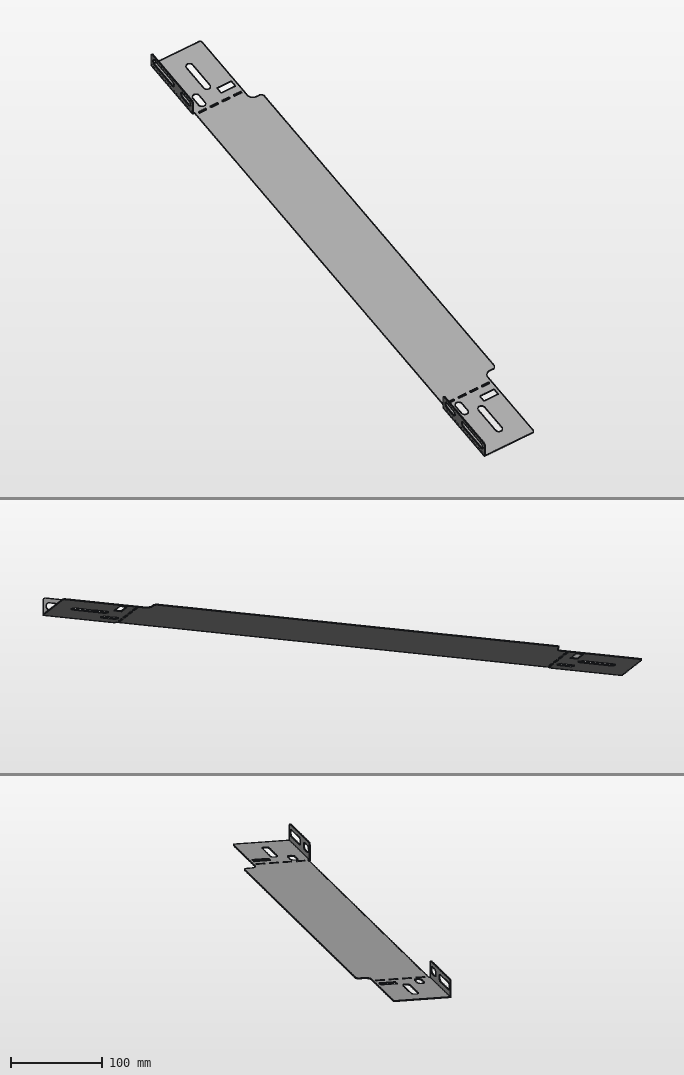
import cadquery as cq

LENGTH = 674.0
DEPTH = 80.0
FLANGE_HEIGHT = 20.0
THICKNESS = 1.2

WING_DEPTH = 65.0
PANEL_INSET = 101.0
PANEL_CORNER_RADIUS = 4.0
NOTCH_RADIUS = 7.0
WING_CORNER_RADIUS = 2.5
FRONT_SETBACK = 2.5

FLANGE_LENGTH = 84.0
FLANGE_CORNER_RADIUS = 3.0

SLOT_WIDTH = 8.0
LONG_SLOT_LENGTH = 43.0
SHORT_SLOT_LENGTH = 20.0
WING_LONG_SLOT_AT = (42.0, 34.5)
WING_SHORT_SLOT_AT = (71.5, 16.5)
FLANGE_LONG_SLOT_X = 25.0
FLANGE_SHORT_SLOT_X = 70.0
FLANGE_SLOT_Z = 11.0
WINDOW_AT = (71.5, 52.0)
WINDOW_SIZE = (8.5, 18.5)

SLIT_X = 86.5
SLIT_WIDTH = 2.0
SLIT_LENGTH = 9.5
SLIT_PITCH = 15.2
SLIT_COUNT = 4
FIRST_SLIT_Y = 11.5

HALF_LENGTH = LENGTH / 2
CUT_DEPTH = 4 * THICKNESS


def make_plate():
    """Flat plate: full-length wing strip plus the deeper middle panel."""
    panel_half = HALF_LENGTH - PANEL_INSET
    wings = cq.Workplane("XY").box(LENGTH, WING_DEPTH, THICKNESS, centered=(True, False, False))
    panel = cq.Workplane("XY").box(2 * panel_half, DEPTH, THICKNESS, centered=(True, False, False))
    plate = wings.union(panel)

    middle_length = LENGTH - 2 * FLANGE_LENGTH
    setback = cq.Workplane("XY").box(middle_length, FRONT_SETBACK, THICKNESS, centered=(True, False, False))
    plate = plate.cut(setback)

    plate = round_upright_edges(plate, panel_half, DEPTH, PANEL_CORNER_RADIUS)
    plate = round_upright_edges(plate, panel_half, WING_DEPTH, NOTCH_RADIUS)
    return round_upright_edges(plate, HALF_LENGTH, WING_DEPTH, WING_CORNER_RADIUS)


def round_upright_edges(plate, x, y, radius):
    """Round the mirrored pair of plate corners at (-x, y) and (x, y)."""
    for corner_x in (-x, x):
        corner = cq.selectors.NearestToPointSelector((corner_x, y, THICKNESS / 2))
        plate = plate.edges("|Z").edges(corner).fillet(radius)
    return plate


def make_flange(side):
    """Upright flange at one end, with rounded upper corners and two slots."""
    center_x = side * (HALF_LENGTH - FLANGE_LENGTH / 2)
    flange = (
        cq.Workplane("XY")
        .center(center_x, 0)
        .box(FLANGE_LENGTH, THICKNESS, FLANGE_HEIGHT, centered=(True, False, False))
        .edges("|Y and >Z")
        .fillet(FLANGE_CORNER_RADIUS)
    )
    slots = ((FLANGE_LONG_SLOT_X, LONG_SLOT_LENGTH), (FLANGE_SHORT_SLOT_X, SHORT_SLOT_LENGTH))
    for offset, length in slots:
        cutter = (
            cq.Workplane("XZ")
            .center(from_end(side, offset), FLANGE_SLOT_Z)
            .slot2D(length, SLOT_WIDTH)
            .extrude(CUT_DEPTH, both=True)
        )
        flange = flange.cut(cutter)
    return flange


def from_end(side, offset):
    """X position at a distance inward from the end on the given side (-1 or 1)."""
    return side * (HALF_LENGTH - offset)


def cut_wing_openings(plate, side):
    """Cut the two slots, the rectangular window and the row of slits on one side."""
    slots = ((WING_LONG_SLOT_AT, LONG_SLOT_LENGTH), (WING_SHORT_SLOT_AT, SHORT_SLOT_LENGTH))
    for (offset, y), length in slots:
        slot = cq.Workplane("XY").center(from_end(side, offset), y).slot2D(length, SLOT_WIDTH)
        plate = plate.cut(slot.extrude(CUT_DEPTH, both=True))

    window_offset, window_y = WINDOW_AT
    window = cq.Workplane("XY").center(from_end(side, window_offset), window_y).rect(*WINDOW_SIZE)
    plate = plate.cut(window.extrude(CUT_DEPTH, both=True))

    slit_centers = [(from_end(side, SLIT_X), FIRST_SLIT_Y + i * SLIT_PITCH) for i in range(SLIT_COUNT)]
    slits = cq.Workplane("XY").pushPoints(slit_centers).rect(SLIT_WIDTH, SLIT_LENGTH)
    return plate.cut(slits.extrude(CUT_DEPTH, both=True))


result = make_plate()
for end in (-1, 1):
    result = cut_wing_openings(result, end)
    result = result.union(make_flange(end))